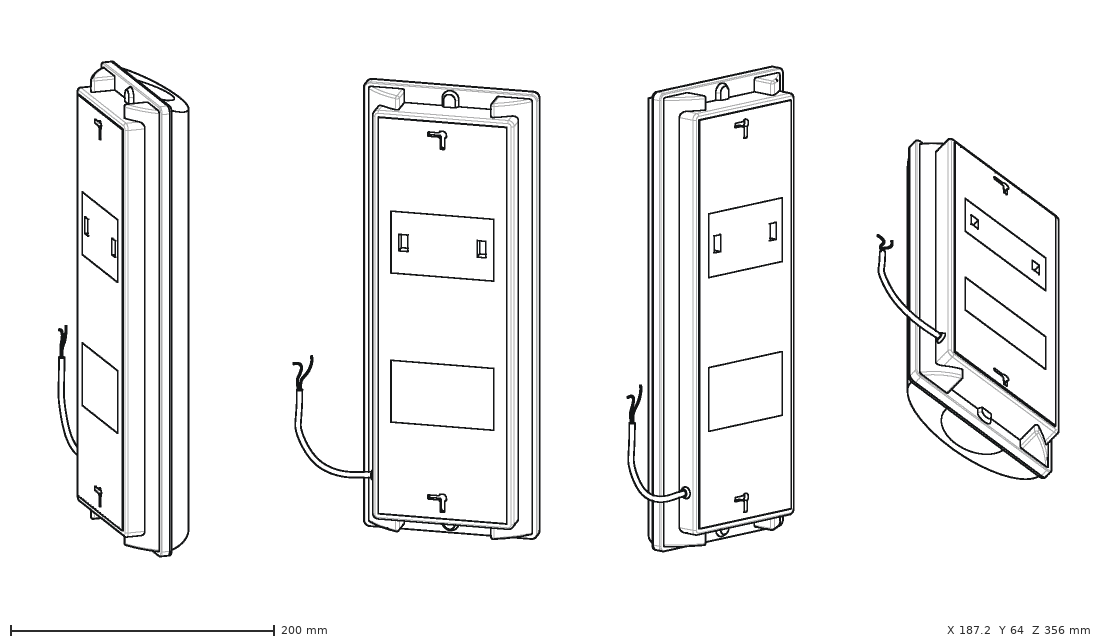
import cadquery as cq


total_depth = 64.0
lamp_width = 136.0
lamp_length = 356.0
lamp_corner_radius = 5.0

flange_front = 25.0
seam = 32.0
flange_edge_radius = 0.8

box_width = 110.5
box_length = 327.4
box_front = 1.0
box_corner_radius = 4.5
box_edge_radius = 1.9
pad_inset = 5.0

wing_half_length = 174.5
wing_root_x = 64.0
wing_tip_x = 36.0
wing_tip_y = 5.5
wing_middle = (50.0, 12.8)
wing_edge_radius = 1.8

tab_width = 13.0
tab_center_z = 169.5
tab_height = 3.2
tab_taper = 2.0

keyhole_zs = (148.5, -142.0)
keyhole_head_diameter = 6.4
keyhole_slot_width = 3.4
keyhole_reach = 11.4
keyhole_tip_radius = 1.0
keyhole_depth = 4.0

label_width = 80.5
label_height = 49.5
label_z = 59.7
label_depth = 0.1
window_width = 7.0
window_height = 13.2
window_x = 30.6
window_depth = 8.0

cable_y = 10.0
cable_z = -131.3
cable_diameter = 4.4
cable_bury = 1.0
cable_bends = [(-76.2, -132.6), (-101.4, -123.8), (-114.6, -101.8)]
cable_end = (-114.3, -68.0)
wire_diameter = 1.2
wire_root_offset = 0.9
wire_bury = 3.0
left_wire_bends = [(-116.0, -60.5), (-113.2, -52.5), (-113.0, -49.0), (-119.04, -47.4)]
right_wire_bends = [(-112.8, -60.0), (-109.2, -55.0), (-106.3, -50.0), (-105.0, -40.2)]
grommet_diameter = 9.0
grommet_tip_diameter = 6.4
grommet_length = 2.5

rim_back = 34.2
rim_edge_radius = 1.6
dome_half_width = 63.7
dome_half_length = 174.2
dome_end_setback = 10.0
scoop_half_width = 28.2
scoop_depth = 8.0

box_side = box_width / 2
weld = 1.0
dome_rise = total_depth - rim_back


def slab(width, length, y_low, y_high):
    """Block centred on X and Z that fills y_low to y_high."""
    return cq.Workplane("XY").box(width, y_high - y_low, length).translate((0, (y_low + y_high) / 2, 0))


def facing_wall(y, z=0):
    """Workplane at depth y whose normal points to the wall, with X right and Z up."""
    return cq.Workplane(cq.Plane(origin=(0, y, z), xDir=(1, 0, 0), normal=(0, -1, 0)))


def rounded_slab(width, length, y_low, y_high, corner_radius):
    return slab(width, length, y_low, y_high).edges("|Y").fillet(corner_radius)


def make_flange():
    flange = rounded_slab(lamp_width, lamp_length, flange_front, seam, lamp_corner_radius)
    return flange.faces("<Y").edges().fillet(flange_edge_radius)


def make_box():
    box = rounded_slab(box_width, box_length, box_front, flange_front + weld, box_corner_radius)
    box = box.faces("<Y").edges().fillet(box_edge_radius)
    pad = slab(box_width - 2 * pad_inset, box_length - 2 * pad_inset, 0, box_front)
    return box.union(pad)


def make_wing(side):
    """Curved wedge along one long side; its outer edges are rounded."""
    root_x = side * wing_root_x
    tip_x = side * wing_tip_x
    wing = (
        cq.Workplane("XY", origin=(0, 0, -wing_half_length))
        .moveTo(tip_x, flange_front + weld)
        .lineTo(tip_x, wing_tip_y)
        .threePointArc((side * wing_middle[0], wing_middle[1]), (root_x, flange_front))
        .lineTo(root_x, flange_front + weld)
        .close()
        .extrude(2 * wing_half_length)
    )
    curved_face_edges = wing.faces("<Y").edges("not |Z")
    tip_edge = wing.edges("|Z").edges("<Y")
    inner_corners = wing.edges("|Y").edges("<X" if side > 0 else ">X")
    rounded_edges = curved_face_edges.vals() + tip_edge.vals() + inner_corners.vals()
    return wing.newObject(rounded_edges).fillet(wing_edge_radius)


def draw_arch(plane, end, half_width):
    """Round-ended outline of a tab; end is +1 or -1 along Z."""
    inner_z = end * (box_length / 2 - weld)
    center_z = end * tab_center_z
    return (
        plane.moveTo(-half_width, inner_z)
        .lineTo(-half_width, center_z)
        .threePointArc((0, center_z + end * half_width), (half_width, center_z))
        .lineTo(half_width, inner_z)
        .close()
    )


def make_tab(end):
    base = draw_arch(facing_wall(flange_front), end, tab_width / 2)
    top = draw_arch(base.workplane(offset=tab_height), end, tab_width / 2 - tab_taper)
    return top.loft(ruled=True)


def make_keyhole(z):
    """Round head with one slot to the left and one slot down."""
    plane = facing_wall(0, z)
    head = plane.circle(keyhole_head_diameter / 2).extrude(-keyhole_depth)
    left = plane.center(-keyhole_reach / 2, 0).rect(keyhole_reach, keyhole_slot_width).extrude(-keyhole_depth)
    down = plane.center(0, -keyhole_reach / 2).rect(keyhole_slot_width, keyhole_reach).extrude(-keyhole_depth)
    left = left.edges("|Y and <X").fillet(keyhole_tip_radius)
    down = down.edges("|Y and <Z").fillet(keyhole_tip_radius)
    return head.union(left).union(down)


def make_label():
    return slab(label_width, label_height, 0, label_depth)


def make_window(side):
    window = slab(window_width, window_height, 0, window_depth)
    return window.translate((side * window_x, 0, label_z))


def cable_plane():
    return cq.Workplane("XZ", origin=(0, cable_y, 0))


def make_sheath():
    start_x = -box_side + cable_bury
    path = (
        cable_plane()
        .moveTo(start_x, cable_z)
        .spline(cable_bends + [cable_end], tangents=[(-1, 0), (0, 1)], includeCurrent=True)
    )
    section = cq.Plane(origin=(start_x, cable_y, cable_z), xDir=(0, 0, 1), normal=(-1, 0, 0))
    return cq.Workplane(section).circle(cable_diameter / 2).sweep(path)


def make_wire(side, bends):
    """Bare wire that starts inside the end of the sheath."""
    x = cable_end[0] + side * wire_root_offset
    start_z = cable_end[1] - wire_bury
    path = (
        cable_plane()
        .moveTo(x, start_z)
        .spline([(x, cable_end[1])] + bends, includeCurrent=True)
    )
    return cq.Workplane("XY", origin=(x, cable_y, start_z)).circle(wire_diameter / 2).sweep(path)


def make_grommet():
    return (
        cq.Workplane("YZ", origin=(-box_side, cable_y, cable_z))
        .circle(grommet_diameter / 2)
        .workplane(offset=-grommet_length)
        .circle(grommet_tip_diameter / 2)
        .loft()
    )


def make_housing():
    housing = make_flange().union(make_box())
    for side in (-1, 1):
        housing = housing.union(make_wing(side)).union(make_tab(side))
    for z in keyhole_zs:
        housing = housing.cut(make_keyhole(z))
    for z in (label_z, -label_z):
        housing = housing.cut(make_label().translate((0, 0, z)))
    for side in (-1, 1):
        housing = housing.cut(make_window(side))
    cable = make_sheath().union(make_grommet())
    cable = cable.union(make_wire(-1, left_wire_bends)).union(make_wire(1, right_wire_bends))
    return housing.union(cable)


def make_dome():
    """Half-elliptic barrel whose two ends lean inward."""
    barrel = (
        cq.Workplane("XY", origin=(0, rim_back, -dome_half_length))
        .ellipseArc(dome_half_width, dome_rise, 0, 180, startAtCurrent=False)
        .close()
        .extrude(2 * dome_half_length)
    )
    top_half_length = dome_half_length - dome_end_setback
    leaning_ends = (
        cq.Workplane("YZ")
        .moveTo(rim_back, -dome_half_length)
        .lineTo(rim_back, dome_half_length)
        .lineTo(total_depth, top_half_length)
        .lineTo(total_depth, -top_half_length)
        .close()
        .extrude(dome_half_width, both=True)
    )
    return barrel.intersect(leaning_ends)


def make_scoop(end):
    """Elliptic finger recess in one leaning end of the dome."""
    plane = cq.Workplane("XZ", origin=(0, rim_back, end * dome_half_length))
    return plane.ellipse(scoop_half_width, scoop_depth).extrude(-dome_rise)


def make_lens():
    rim = rounded_slab(lamp_width, lamp_length, seam, rim_back, lamp_corner_radius)
    rim = rim.faces(">Y").edges().fillet(rim_edge_radius)
    dome = make_dome()
    for end in (-1, 1):
        dome = dome.cut(make_scoop(end))
    return rim.union(dome)


housing = make_housing()
lens = make_lens()
result = cq.Compound.makeCompound([housing.val(), lens.val()])